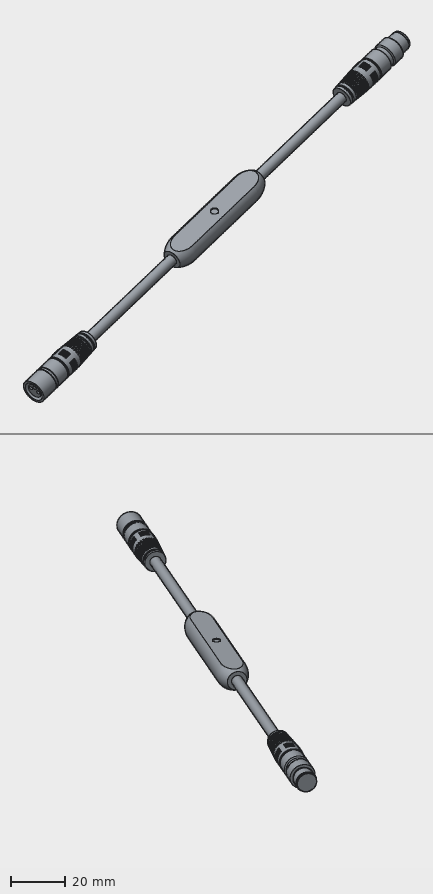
import cadquery as cq
import math

HOUSING_RADIUS = 6.0
HOUSING_HALF_LENGTH = 25.3
HOUSING_STRAIGHT_HALF = 18.4
HOUSING_END_RADIUS = 3.75
FLAT_HEIGHT = 4.4
LED_DIAMETER = 3.0
LED_DEPTH = 0.5

CABLE_DIAMETER = 4.3
TOTAL_LENGTH = 219.0
MALE_TIP_Y = 111.5
FEMALE_TIP_Y = MALE_TIP_Y - TOTAL_LENGTH

SHELL_RADIUS = 9.7 / 2
CUTTER_RADIUS = SHELL_RADIUS + 1
MALE_BOOT_START = 25.4
FEMALE_BOOT_START = 21.7
NOTCH_DEPTH = 0.35
NOTCH_WIDTH = 0.5
NUT_NOTCH_OFFSET = 6.7
DISH_DEPTH = 0.07
DISH_WIDTH = 0.9
DISH_OFFSETS = (0.1, 5.4)

RIB_TIP_RADIUS = 5.03
RIB_WIDTH = 0.4
RIB_LENGTH = 2.7
RIB_OFFSET = 2.0
RIB_PITCH_ANGLE = 9.0
RIB_GROUPS = ((15.0, 7), (90.0, 5), (165.0, 7))

BOOT_LENGTH = 10.5
BOOT_END_RADIUS = 4.1
BOOT_GROOVE_STARTS = (6.6, 8.6)
BOOT_GROOVE_WIDTH = 0.7
BOOT_GROOVE_RADIUS = 3.6
FLUTE_COUNT = 28
FLUTE_WIDTH = 0.5
FLUTE_ROW_STARTS = (0.5, 2.5, 4.5)
FLUTE_LENGTH = 1.5
FLUTE_FLOOR_RADIUS = 4.1

PLUG_RADIUS = 8.0 / 2
PLUG_TIP_RADIUS = 7.5 / 2
PLUG_TIP_LENGTH = 0.7
PLUG_CHAMFER_LENGTH = 0.25
PLUG_RELIEF_WIDTH = 0.6
PLUG_LENGTH = 5.4
MALE_GROOVE_START = 10.5
MALE_GROOVE_WIDTH = 1.7
MALE_GROOVE_RADIUS = 4.3
MALE_GROOVE_BEVEL = 0.4

FEMALE_GROOVE_START = 7.5
FEMALE_GROOVE_WIDTH = 1.2
SOCKET_BORE_RADIUS = 7.9 / 2
SOCKET_DEPTH = 6.0
INSERT_RADIUS = 5.8 / 2
INSERT_SETBACK = 0.5
CONTACT_DIAMETER = 1.43
CONTACT_DEPTH = 5.0
CONTACT_POSITIONS = ((-1.7, 0.4), (1.7, 0.4), (0.0, 1.7))
KEY_WIDTH = 0.8
KEY_ROOT_OVERLAP = 0.2


def cylinder(radius, start, length):
    """Solid cylinder around the Y axis, from start towards +Y."""
    return cq.Workplane("XZ", origin=(0, start, 0)).circle(radius).extrude(-length)


def ring_cut(start, width, floor_radius):
    """Annular cutter for a groove in the shell or the boot."""
    outer = cylinder(CUTTER_RADIUS, start, width)
    return outer.cut(cylinder(floor_radius, start, width))


def dish_cut(start):
    """Annular cutter for a shallow round-bottomed groove in the shell."""
    end = start + DISH_WIDTH
    return (
        cq.Workplane("XY")
        .moveTo(SHELL_RADIUS, start)
        .threePointArc((SHELL_RADIUS - DISH_DEPTH, (start + end) / 2), (SHELL_RADIUS, end))
        .lineTo(CUTTER_RADIUS, end)
        .lineTo(CUTTER_RADIUS, start)
        .close()
        .revolve(360, (0, 0, 0), (0, 1, 0))
    )


def make_housing():
    drop = HOUSING_RADIUS - HOUSING_END_RADIUS
    run = HOUSING_HALF_LENGTH - HOUSING_STRAIGHT_HALF
    arc_radius = (run**2 + drop**2) / (2 * drop)
    half_angle = math.asin(run / arc_radius) / 2
    arc_mid_y = HOUSING_STRAIGHT_HALF + arc_radius * math.sin(half_angle)
    arc_mid_radius = HOUSING_RADIUS - arc_radius * (1 - math.cos(half_angle))
    body = (
        cq.Workplane("YZ")
        .moveTo(-HOUSING_HALF_LENGTH, 0)
        .lineTo(-HOUSING_HALF_LENGTH, HOUSING_END_RADIUS)
        .threePointArc((-arc_mid_y, arc_mid_radius), (-HOUSING_STRAIGHT_HALF, HOUSING_RADIUS))
        .lineTo(HOUSING_STRAIGHT_HALF, HOUSING_RADIUS)
        .threePointArc((arc_mid_y, arc_mid_radius), (HOUSING_HALF_LENGTH, HOUSING_END_RADIUS))
        .lineTo(HOUSING_HALF_LENGTH, 0)
        .close()
        .revolve(360, (0, 0, 0), (1, 0, 0))
    )
    above_flat = (
        cq.Workplane("XY", origin=(0, 0, FLAT_HEIGHT))
        .rect(2 * HOUSING_RADIUS, 2 * HOUSING_HALF_LENGTH)
        .extrude(HOUSING_RADIUS)
    )
    led_recess = (
        cq.Workplane("XY", origin=(0, 0, FLAT_HEIGHT)).circle(LED_DIAMETER / 2).extrude(-LED_DEPTH)
    )
    return body.cut(above_flat).cut(led_recess)


def radial_bar(angle, width, start, length, inner_radius, outer_radius):
    """Bar along Y spanning the two radii, at an angle measured from +X towards +Z."""
    bar = cq.Workplane("XY").box(outer_radius - inner_radius, length, width)
    bar = bar.translate(((inner_radius + outer_radius) / 2, start + length / 2, 0))
    return bar.rotate((0, 0, 0), (0, 1, 0), -angle)


def make_boot(start):
    """Tapered boot with lengthwise flutes and two grooves near its thin end."""
    boot = (
        cq.Workplane("XY")
        .polyline([
            (0, start),
            (SHELL_RADIUS, start),
            (BOOT_END_RADIUS, start + BOOT_LENGTH),
            (0, start + BOOT_LENGTH),
        ])
        .close()
        .revolve(360, (0, 0, 0), (0, 1, 0))
    )
    for groove_start in BOOT_GROOVE_STARTS:
        boot = boot.cut(ring_cut(start + groove_start, BOOT_GROOVE_WIDTH, BOOT_GROOVE_RADIUS))
    for row_start in FLUTE_ROW_STARTS:
        flute_start = start + row_start
        for index in range(FLUTE_COUNT):
            angle = (index + 0.5) * 360 / FLUTE_COUNT
            boot = boot.cut(radial_bar(
                angle, FLUTE_WIDTH, flute_start, FLUTE_LENGTH, FLUTE_FLOOR_RADIUS, CUTTER_RADIUS
            ))
    return boot


def add_rear(shell, boot_start):
    """Add the grooves, grip ribs and boot common to both connectors."""
    for offset in DISH_OFFSETS:
        shell = shell.cut(dish_cut(boot_start - offset - DISH_WIDTH))
    nut_notch_start = boot_start - NUT_NOTCH_OFFSET - NOTCH_WIDTH
    shell = shell.cut(ring_cut(nut_notch_start, NOTCH_WIDTH, SHELL_RADIUS - NOTCH_DEPTH))
    rib_start = boot_start - RIB_OFFSET - RIB_LENGTH
    for group_angle, rib_count in RIB_GROUPS:
        for index in range(rib_count):
            angle = group_angle + (index - (rib_count - 1) / 2) * RIB_PITCH_ANGLE
            shell = shell.union(radial_bar(
                angle, RIB_WIDTH, rib_start, RIB_LENGTH, SHELL_RADIUS - NOTCH_DEPTH, RIB_TIP_RADIUS
            ))
    return shell.union(make_boot(boot_start))


def make_male():
    """Plug connector with its tip at Y = 0 and its boot towards +Y."""
    groove_end = MALE_GROOVE_START + MALE_GROOVE_WIDTH
    shell = (
        cq.Workplane("XY")
        .polyline([
            (0, 0),
            (PLUG_TIP_RADIUS, 0),
            (PLUG_TIP_RADIUS, PLUG_TIP_LENGTH),
            (PLUG_RADIUS, PLUG_TIP_LENGTH + PLUG_CHAMFER_LENGTH),
            (PLUG_RADIUS, PLUG_LENGTH - PLUG_RELIEF_WIDTH),
            (PLUG_TIP_RADIUS, PLUG_LENGTH - PLUG_RELIEF_WIDTH),
            (PLUG_TIP_RADIUS, PLUG_LENGTH),
            (SHELL_RADIUS, PLUG_LENGTH),
            (SHELL_RADIUS, MALE_GROOVE_START - MALE_GROOVE_BEVEL),
            (MALE_GROOVE_RADIUS, MALE_GROOVE_START),
            (MALE_GROOVE_RADIUS, groove_end),
            (SHELL_RADIUS, groove_end + MALE_GROOVE_BEVEL),
            (SHELL_RADIUS, MALE_BOOT_START),
            (0, MALE_BOOT_START),
        ])
        .close()
        .revolve(360, (0, 0, 0), (0, 1, 0))
    )
    return add_rear(shell, MALE_BOOT_START)


def make_female():
    """Socket connector with its mouth at Y = 0 and its boot towards +Y."""
    shell = cylinder(SHELL_RADIUS, 0, FEMALE_BOOT_START)
    shell = shell.cut(ring_cut(FEMALE_GROOVE_START, FEMALE_GROOVE_WIDTH, SHELL_RADIUS - NOTCH_DEPTH))
    shell = shell.cut(cylinder(SOCKET_BORE_RADIUS, 0, SOCKET_DEPTH))
    insert = cylinder(INSERT_RADIUS, INSERT_SETBACK, SOCKET_DEPTH - INSERT_SETBACK)
    contacts = (
        cq.Workplane("XZ")
        .pushPoints(CONTACT_POSITIONS)
        .circle(CONTACT_DIAMETER / 2)
        .extrude(-CONTACT_DEPTH)
    )
    key_length = SOCKET_DEPTH - INSERT_SETBACK
    key_root = INSERT_RADIUS - KEY_ROOT_OVERLAP
    key_tip = SOCKET_BORE_RADIUS + KEY_ROOT_OVERLAP
    key = radial_bar(90, KEY_WIDTH, INSERT_SETBACK, key_length, key_root, key_tip)
    shell = shell.union(insert.cut(contacts)).union(key)
    return add_rear(shell, FEMALE_BOOT_START)


male = make_male().mirror("XZ").translate((0, MALE_TIP_Y, 0))
female = make_female().translate((0, FEMALE_TIP_Y, 0))
cable_start = FEMALE_TIP_Y + FEMALE_BOOT_START
cable_end = MALE_TIP_Y - MALE_BOOT_START
cable = cylinder(CABLE_DIAMETER / 2, cable_start, cable_end - cable_start)

result = make_housing().union(cable).union(male).union(female)